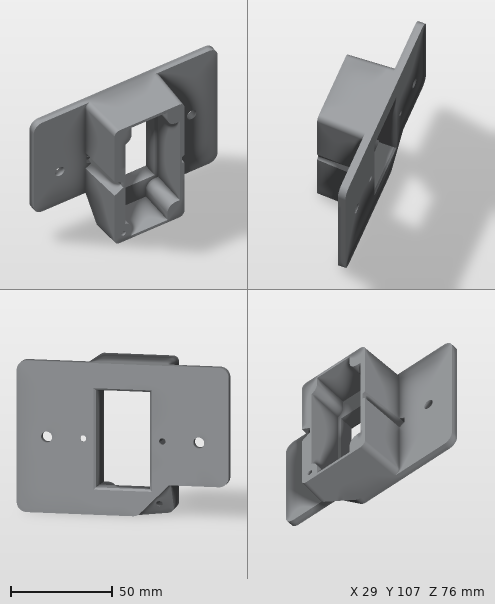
import cadquery as cq
import math

PLATE_WIDTH = 107.0
HEIGHT = 76.0
PLATE_THICKNESS = 4.0
PLATE_CORNER_RADIUS = 5.0

NOTCH_TOP_Z = -21.8
NOTCH_INNER_Y = -23.4

DEPTH = 29.0
BOX_CENTER_Y = -1.85
BOX_FRONT_WIDTH = 43.1
BOX_BACK_WIDTH = 40.7
BOX_EDGE_RADIUS = 3.0

OPENING_WIDTH = 27.4
OPENING_HEIGHT = 48.8
OPENING_CHAMFER = 1.0
LIP_DEPTH = 9.0

CAVITY_CLEARANCE = 2.1
CAVITY_END_WALL = 1.7

POST_RADIUS = 5.0
POST_INNER_OFFSET = 10.5
POST_HOLE_Y = -17.0
POST_HOLE_Z = -32.5
POST_HOLE_DIAMETER = 2.9

MOUNT_HOLE_DIAMETER = 5.5
MOUNT_HOLE_Y = 38.4
SMALL_HOLE_DIAMETER = 3.2
SMALL_HOLE_Y = 20.0
SMALL_HOLE_DEPTH = 1.0

NUT_ACROSS_FLATS = 5.9

HALF_HEIGHT = HEIGHT / 2
NUT_SIDE = NUT_ACROSS_FLATS / math.sqrt(3)
HALF_HEX_ANGLE = 180 / 6
CAVITY_HALF_WIDTH = OPENING_WIDTH / 2 + CAVITY_CLEARANCE
CAVITY_HALF_HEIGHT = OPENING_HEIGHT / 2 + CAVITY_CLEARANCE


def yz_plane(x):
    """Workplane at the given X whose local axes are Y and Z and whose normal is +X."""
    return cq.Workplane("YZ", origin=(x, 0, 0))


def round_hole(diameter, y, z, x_end):
    """Cutter for a round hole along X from the front face to x_end."""
    return yz_plane(0).center(y, z).circle(diameter / 2).extrude(x_end)


def make_plate():
    half_width = PLATE_WIDTH / 2
    slant_end_y = NOTCH_INNER_Y + (NOTCH_TOP_Z + HALF_HEIGHT)
    outline = [
        (half_width, HALF_HEIGHT),
        (-half_width, HALF_HEIGHT),
        (-half_width, NOTCH_TOP_Z),
        (NOTCH_INNER_Y, NOTCH_TOP_Z),
        (slant_end_y, -HALF_HEIGHT),
        (half_width, -HALF_HEIGHT),
    ]
    plate = yz_plane(0).polyline(outline).close().extrude(PLATE_THICKNESS)
    notch_corner = cq.selectors.NearestToPointSelector((PLATE_THICKNESS / 2, NOTCH_INNER_Y, NOTCH_TOP_Z))
    rounded_edges = cq.selectors.StringSyntaxSelector("|X") - notch_corner
    return plate.edges(rounded_edges).fillet(PLATE_CORNER_RADIUS)


def make_box():
    front_half = BOX_FRONT_WIDTH / 2
    back_half = BOX_BACK_WIDTH / 2
    footprint = [
        (PLATE_THICKNESS, BOX_CENTER_Y - front_half),
        (DEPTH, BOX_CENTER_Y - back_half),
        (DEPTH, BOX_CENTER_Y + back_half),
        (PLATE_THICKNESS, BOX_CENTER_Y + front_half),
    ]
    box = cq.Workplane("XY").polyline(footprint).close().extrude(HALF_HEIGHT, both=True)
    long_edges = box.faces("<Y or >Y").edges("<Z or >Z")
    return box.newObject(long_edges.vals()).fillet(BOX_EDGE_RADIUS)


def make_corner_cutter():
    """Block in front of a 45 degree plane that rises from the slanted edge of the plate's back face."""
    reach = HEIGHT
    slant_plane = cq.Plane(
        origin=(PLATE_THICKNESS, NOTCH_INNER_Y, NOTCH_TOP_Z),
        xDir=(0, 1, -1),
        normal=(-1, -math.sqrt(0.5), -math.sqrt(0.5)),
    )
    return cq.Workplane(slant_plane).rect(reach, reach).extrude(reach)


def make_groove(side):
    """Groove on the +Y (side = 1) or -Y (side = -1) face of the box, flaring out from one nut flat."""
    floor_y = SMALL_HOLE_Y - NUT_ACROSS_FLATS / 2
    outer_y = BOX_FRONT_WIDTH
    floor_half = NUT_SIDE / 2
    flare = (outer_y - floor_y) * math.tan(math.radians(HALF_HEX_ANGLE))
    profile = [
        (side * floor_y, -floor_half),
        (side * floor_y, floor_half),
        (side * outer_y, floor_half + flare),
        (side * outer_y, -floor_half - flare),
    ]
    return yz_plane(PLATE_THICKNESS).polyline(profile).close().extrude(DEPTH)


def make_nut_pocket(side):
    """Hexagonal pocket, with flats facing +Y and -Y, from the end of a small hole to the plate's back."""
    return (
        yz_plane(SMALL_HOLE_DEPTH)
        .center(side * SMALL_HOLE_Y, 0)
        .transformed(rotate=(0, 0, HALF_HEX_ANGLE))
        .polygon(6, 2 * NUT_SIDE)
        .extrude(PLATE_THICKNESS - SMALL_HOLE_DEPTH)
    )


def make_opening():
    opening = yz_plane(0).rect(OPENING_WIDTH, OPENING_HEIGHT).extrude(DEPTH)
    flare = (
        yz_plane(0)
        .rect(OPENING_WIDTH + 2 * OPENING_CHAMFER, OPENING_HEIGHT + 2 * OPENING_CHAMFER)
        .workplane(offset=OPENING_CHAMFER)
        .rect(OPENING_WIDTH, OPENING_HEIGHT)
        .loft(combine=True)
    )
    return opening.union(flare)


def make_cavity():
    """Rectangular space behind the lip, less a rounded screw post in each corner."""
    length = DEPTH - LIP_DEPTH
    end_z = HALF_HEIGHT - CAVITY_END_WALL
    cavity = yz_plane(LIP_DEPTH).rect(2 * CAVITY_HALF_WIDTH, 2 * end_z).extrude(length)
    block_width = BOX_FRONT_WIDTH
    block_height = HEIGHT
    for side in (-1, 1):
        for level in (-1, 1):
            inner_y = BOX_CENTER_Y + side * POST_INNER_OFFSET
            inner_z = level * CAVITY_HALF_HEIGHT
            post = (
                yz_plane(LIP_DEPTH)
                .center(inner_y + side * block_width / 2, inner_z + level * block_height / 2)
                .rect(block_width, block_height)
                .extrude(length)
                .edges("|X")
                .edges(cq.selectors.NearestToPointSelector((LIP_DEPTH + length / 2, inner_y, inner_z)))
                .fillet(POST_RADIUS)
            )
            cavity = cavity.cut(post)
    return cavity


box = make_box().cut(make_corner_cutter())
for groove_side in (-1, 1):
    box = box.cut(make_groove(groove_side))

result = make_plate().union(box).cut(make_opening()).cut(make_cavity())

for hole_side in (-1, 1):
    result = result.cut(round_hole(MOUNT_HOLE_DIAMETER, hole_side * MOUNT_HOLE_Y, 0, PLATE_THICKNESS))
    result = result.cut(round_hole(SMALL_HOLE_DIAMETER, hole_side * SMALL_HOLE_Y, 0, SMALL_HOLE_DEPTH))
    result = result.cut(make_nut_pocket(hole_side))
result = result.cut(round_hole(POST_HOLE_DIAMETER, POST_HOLE_Y, POST_HOLE_Z, DEPTH))